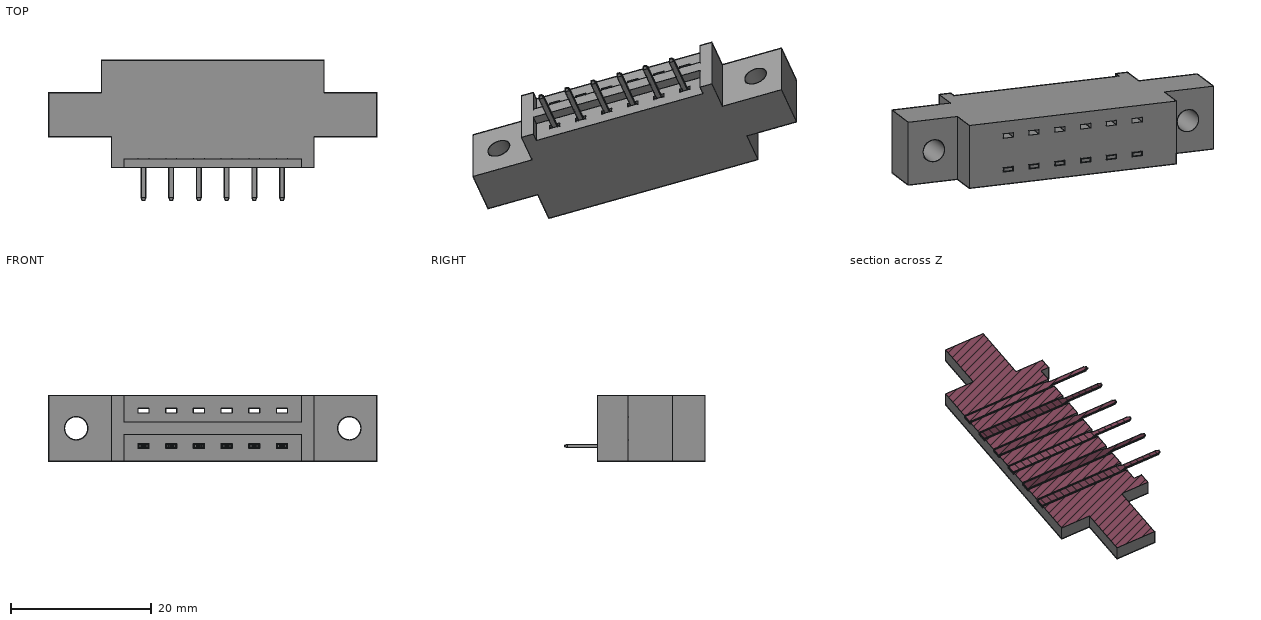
import cadquery as cq


LENGTH = 46.8
HEIGHT = 9.4
NOSE_WIDTH = 28.85
NOSE_DEPTH = 4.4
FLANGE_DEPTH = 6.3
BACK_WIDTH = 31.72
BACK_DEPTH = 4.65
HOUSING_DEPTH = NOSE_DEPTH + FLANGE_DEPTH + BACK_DEPTH

MOUNT_SPAN = 38.95
MOUNT_DIAMETER = 3.28

RECESS_WIDTH = 25.25
RECESS_DEPTH = 1.25
WEB_THICKNESS = 1.82

CONTACT_COUNT = 6
CONTACT_ROW_SPAN = 19.75
CONTACT_PITCH = CONTACT_ROW_SPAN / (CONTACT_COUNT - 1)
ROW_OFFSET = 2.55
SLOT_WIDTH = 1.55
SLOT_HEIGHT = 0.65

BLADE_WIDTH = 1.3
PIN_WIDTH = 0.7
CONTACT_THICKNESS = 0.45
PIN_LENGTH = 4.7
TIP_LENGTH = 0.4
TIP_WIDTH = 0.37
TIP_THICKNESS = 0.2
SHOULDER_LENGTH = 1.05
SHOULDER_Y = RECESS_DEPTH

CONTACT_XS = [
    (index - (CONTACT_COUNT - 1) / 2) * CONTACT_PITCH
    for index in range(CONTACT_COUNT)
]


def block(width, depth, height, x, front_y, z):
    """Box centred on x and z, running back from front_y."""
    return cq.Workplane("XY").box(width, depth, height).translate((x, front_y + depth / 2, z))


def make_body():
    """Nose, mounting flange and back block in one piece."""
    nose = block(NOSE_WIDTH, NOSE_DEPTH, HEIGHT, 0, 0, 0)
    flange = block(LENGTH, FLANGE_DEPTH, HEIGHT, 0, NOSE_DEPTH, 0)
    back = block(BACK_WIDTH, BACK_DEPTH, HEIGHT, 0, NOSE_DEPTH + FLANGE_DEPTH, 0)
    return nose.union(flange).union(back)


def cut_mounting_holes(body):
    for side in (-1, 1):
        hole = (
            cq.Workplane("XZ", origin=(side * MOUNT_SPAN / 2, NOSE_DEPTH, 0))
            .circle(MOUNT_DIAMETER / 2)
            .extrude(-FLANGE_DEPTH)
        )
        body = body.cut(hole)
    return body


def cut_recesses(body):
    """Open the nose above and below the web, out to the top and bottom faces."""
    recess_height = (HEIGHT - WEB_THICKNESS) / 2
    recess_z = (HEIGHT + WEB_THICKNESS) / 4
    for side in (-1, 1):
        body = body.cut(block(RECESS_WIDTH, RECESS_DEPTH, recess_height, 0, 0, side * recess_z))
    return body


def cut_contact_slots(body):
    """Both rows of slots pass through to the back face."""
    for z in (-ROW_OFFSET, ROW_OFFSET):
        for x in CONTACT_XS:
            body = body.cut(block(SLOT_WIDTH, HOUSING_DEPTH, SLOT_HEIGHT, x, 0, z))
    return body


def make_housing():
    body = make_body()
    body = cut_mounting_holes(body)
    body = cut_recesses(body)
    return cut_contact_slots(body)


def make_contact(x):
    """Flat contact of the lower row, with its blade running back through the slot."""
    tip_start = TIP_LENGTH - PIN_LENGTH
    blade_y = SHOULDER_Y + SHOULDER_LENGTH
    tip = (
        cq.Workplane("XZ", origin=(x, tip_start, -ROW_OFFSET))
        .rect(PIN_WIDTH, CONTACT_THICKNESS)
        .workplane(offset=TIP_LENGTH)
        .rect(TIP_WIDTH, TIP_THICKNESS)
        .loft(ruled=True)
    )
    outline = [
        (-PIN_WIDTH / 2, tip_start),
        (PIN_WIDTH / 2, tip_start),
        (PIN_WIDTH / 2, SHOULDER_Y),
        (BLADE_WIDTH / 2, blade_y),
        (BLADE_WIDTH / 2, HOUSING_DEPTH),
        (-BLADE_WIDTH / 2, HOUSING_DEPTH),
        (-BLADE_WIDTH / 2, blade_y),
        (-PIN_WIDTH / 2, SHOULDER_Y),
    ]
    strip = (
        cq.Workplane("XY", origin=(x, 0, -ROW_OFFSET - CONTACT_THICKNESS / 2))
        .polyline(outline)
        .close()
        .extrude(CONTACT_THICKNESS)
    )
    return tip.union(strip)


housing = make_housing()
contacts = [make_contact(x) for x in CONTACT_XS]

result = cq.Compound.makeCompound(
    [housing.val(), *[contact.val() for contact in contacts]]
)